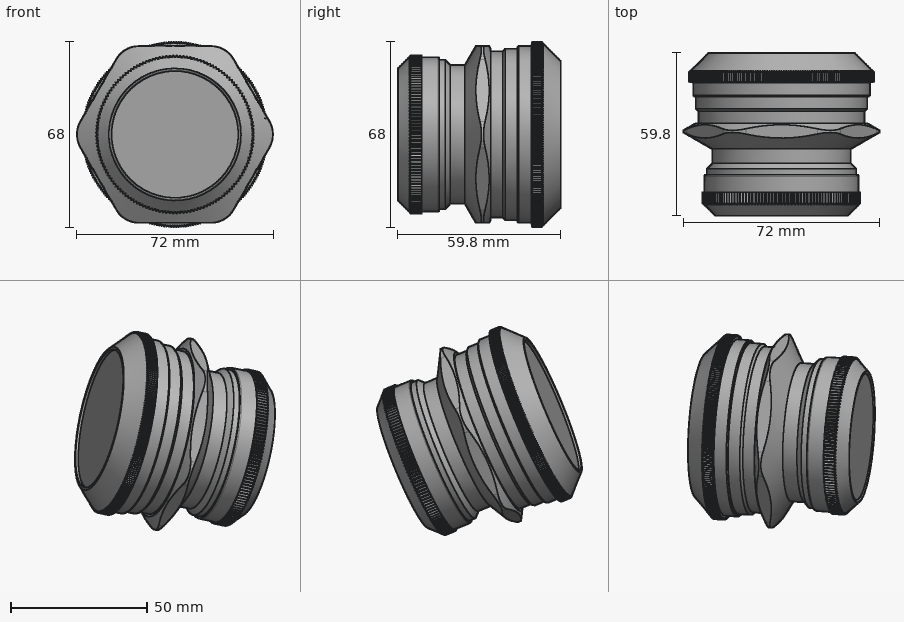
import cadquery as cq
import math

BACK_Y = 29.895
FRONT_Y = -29.895

COLLAR_RADIUS = 33.995
COLLAR_ROOT_RADIUS = 33.4
COLLAR_TEETH = 240
COLLAR_FRONT_Y = 19.35
BACK_FACE_RADIUS = 26.85

BARREL_RADIUS_1 = 65.0 / 2
BARREL_RADIUS_2 = 63.0 / 2
BARREL_RADIUS_3 = 61.1 / 2
BARREL_BACK_Y = 19.0
BARREL_STEP_1_Y = 14.4
BARREL_STEP_2_Y = 9.5
BARREL_EDGE_CHAMFER = 0.5
BARREL_CONE_LENGTH = 0.9

HEX_ACROSS_FLATS = 64.9
HEX_ACROSS_CORNERS = 71.95
HEX_BACK_Y = 4.1
HEX_BACK_FACE_RADIUS = 31.5
HEX_CHAMFER_ANGLE = 30

NECK_RADIUS = 51.0 / 2
NECK_BACK_Y = -5.3
NECK_FRONT_Y = -10.65
SEAL_RADIUS = 55.0 / 2
SEAL_FRONT_Y = -14.8
PLUG_RADIUS = 56.7 / 2
PLUG_FRONT_Y = -21.2
PLUG_LEAD_IN_LENGTH = 0.5
PLUG_LEAD_IN_DEPTH = 0.15

CAP_RADIUS = 29.0
CAP_TEETH = 144
FRONT_FACE_RADIUS = 24.25

BACK_RECESS_RADIUS = 51.8 / 2
BACK_RECESS_DEPTH = 1.0
FRONT_RIM_WIDTH = 0.5
FRONT_RECESS_DEPTH = 0.5

CHAMFER_RISE = math.tan(math.radians(HEX_CHAMFER_ANGLE))


def turned(points):
    """Solid turned about the Y axis from (radius, y) points, closed along the axis."""
    on_axis = [(0, points[0][1])] + points + [(0, points[-1][1])]
    return cq.Workplane("XY").polyline(on_axis).close().revolve(360, (0, 0, 0), (0, 1, 0))


def prism(outline, y_front, y_back):
    """Prism along Y from (x, z) outline points."""
    plane = cq.Plane(origin=(0, y_front, 0), xDir=(1, 0, 0), normal=(0, 1, 0))
    local = [(x, -z) for x, z in outline]
    return cq.Workplane(plane).polyline(local).close().extrude(y_back - y_front)


def knurl(teeth, tip_radius, root_radius, y_front, y_back):
    """Straight-knurled prism with V-shaped teeth; a groove lies on the +Z side."""
    outline = []
    for i in range(2 * teeth):
        angle = math.pi / 2 + i * math.pi / teeth
        radius = tip_radius if i % 2 else root_radius
        outline.append((radius * math.cos(angle), radius * math.sin(angle)))
    return prism(outline, y_front, y_back)


cone_end_y = BACK_Y - (COLLAR_RADIUS - BACK_FACE_RADIUS)
collar = turned([
    (BACK_FACE_RADIUS, BACK_Y),
    (COLLAR_RADIUS, cone_end_y),
    (COLLAR_RADIUS, COLLAR_FRONT_Y),
    (BARREL_RADIUS_1, BARREL_BACK_Y),
]).intersect(knurl(COLLAR_TEETH, COLLAR_RADIUS, COLLAR_ROOT_RADIUS, BARREL_BACK_Y, BACK_Y))

barrel = turned([
    (BARREL_RADIUS_1, BARREL_BACK_Y),
    (BARREL_RADIUS_1, BARREL_STEP_1_Y),
    (BARREL_RADIUS_1 - BARREL_EDGE_CHAMFER, BARREL_STEP_1_Y - BARREL_EDGE_CHAMFER),
    (BARREL_RADIUS_2, BARREL_STEP_1_Y - BARREL_EDGE_CHAMFER),
    (BARREL_RADIUS_2, BARREL_STEP_2_Y),
    (BARREL_RADIUS_3, BARREL_STEP_2_Y - BARREL_CONE_LENGTH),
    (BARREL_RADIUS_3, HEX_BACK_Y),
])

sharp_corner_radius = HEX_ACROSS_FLATS / math.sqrt(3)
corner_fillet = (sharp_corner_radius - HEX_ACROSS_CORNERS / 2) / (2 / math.sqrt(3) - 1)
hex_corners = [
    (sharp_corner_radius * math.cos(i * math.pi / 3), sharp_corner_radius * math.sin(i * math.pi / 3))
    for i in range(6)
]
hexagon = prism(hex_corners, NECK_BACK_Y, HEX_BACK_Y).edges("|Y").fillet(corner_fillet)
back_chamfer_y = HEX_BACK_Y - (sharp_corner_radius - HEX_BACK_FACE_RADIUS) * CHAMFER_RISE
front_chamfer_y = NECK_BACK_Y + (sharp_corner_radius - NECK_RADIUS) * CHAMFER_RISE
hexagon = hexagon.intersect(turned([
    (HEX_BACK_FACE_RADIUS, HEX_BACK_Y),
    (sharp_corner_radius, back_chamfer_y),
    (sharp_corner_radius, front_chamfer_y),
    (NECK_RADIUS, NECK_BACK_Y),
]))

plug = turned([
    (NECK_RADIUS, NECK_BACK_Y),
    (NECK_RADIUS, NECK_FRONT_Y),
    (SEAL_RADIUS, NECK_FRONT_Y - (SEAL_RADIUS - NECK_RADIUS)),
    (SEAL_RADIUS, SEAL_FRONT_Y),
    (PLUG_RADIUS - PLUG_LEAD_IN_DEPTH, SEAL_FRONT_Y),
    (PLUG_RADIUS, SEAL_FRONT_Y - PLUG_LEAD_IN_LENGTH),
    (PLUG_RADIUS, PLUG_FRONT_Y),
])

cap = turned([
    (CAP_RADIUS, PLUG_FRONT_Y),
    (CAP_RADIUS, FRONT_Y + CAP_RADIUS - FRONT_FACE_RADIUS),
    (FRONT_FACE_RADIUS, FRONT_Y),
]).intersect(knurl(CAP_TEETH, CAP_RADIUS, PLUG_RADIUS, FRONT_Y, PLUG_FRONT_Y))

back_recess = turned([(BACK_RECESS_RADIUS, BACK_Y), (BACK_RECESS_RADIUS, BACK_Y - BACK_RECESS_DEPTH)])

front_recess_mouth_radius = FRONT_FACE_RADIUS - FRONT_RIM_WIDTH
front_recess_floor_radius = front_recess_mouth_radius - FRONT_RECESS_DEPTH
front_recess_floor_y = FRONT_Y + FRONT_RECESS_DEPTH
arc_offset = FRONT_RECESS_DEPTH * math.sqrt(0.5)
front_recess = (
    cq.Workplane("XY")
    .moveTo(0, FRONT_Y)
    .lineTo(front_recess_mouth_radius, FRONT_Y)
    .threePointArc(
        (front_recess_mouth_radius - arc_offset, front_recess_floor_y - arc_offset),
        (front_recess_floor_radius, front_recess_floor_y),
    )
    .lineTo(0, front_recess_floor_y)
    .close()
    .revolve(360, (0, 0, 0), (0, 1, 0))
)

body = collar.union(barrel).union(hexagon).union(plug).union(cap)
result = body.cut(back_recess).cut(front_recess)